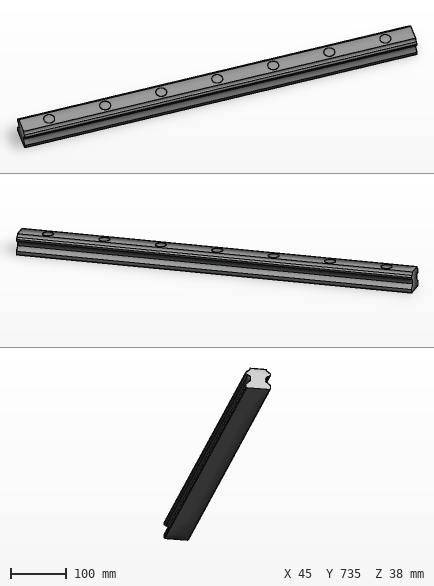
import cadquery as cq

length = 735
width = 45.0
height = 38.0

half_width = width / 2
top_half_width = 15.0
groove_outer_half_width = 19.0
neck_half_width = 14.0

upper_groove_bottom = 33.0
lip_top = 30.0
lip_bottom = 27.0
lower_groove_top = 25.0
lower_groove_bottom = 20.0
neck_bottom = 15.5
foot_top = 7.0

groove_radius = 6.0
foot_chamfer = 1.5

seat_count = 7
seat_pitch = length / seat_count
seat_diameter = 20.0
seat_depth = 0.4


def half_section():
    """Right half of the cross-section, closed along the centre plane."""
    return (
        cq.Workplane("XZ")
        .moveTo(0, 0)
        .lineTo(half_width - foot_chamfer, 0)
        .lineTo(half_width, foot_chamfer)
        .lineTo(half_width, foot_top)
        .lineTo(neck_half_width, neck_bottom)
        .lineTo(neck_half_width, lower_groove_bottom)
        .radiusArc((groove_outer_half_width, lower_groove_top), groove_radius)
        .lineTo(half_width, lip_bottom)
        .lineTo(half_width, lip_top)
        .lineTo(groove_outer_half_width, upper_groove_bottom)
        .radiusArc((top_half_width, height), groove_radius)
        .lineTo(0, height)
        .close()
    )


def rail_body():
    """Full rail: the extruded half section and its mirror image."""
    half = half_section().extrude(length / 2, both=True)
    return half.union(half.mirror("YZ")).clean()


def seats():
    """Round seats along the middle of the top face."""
    return (
        cq.Workplane("XY")
        .workplane(offset=height - seat_depth)
        .rarray(7, seat_pitch, 1, seat_count)
        .circle(seat_diameter / 2)
        .extrude(seat_depth)
    )


result = rail_body().cut(seats())